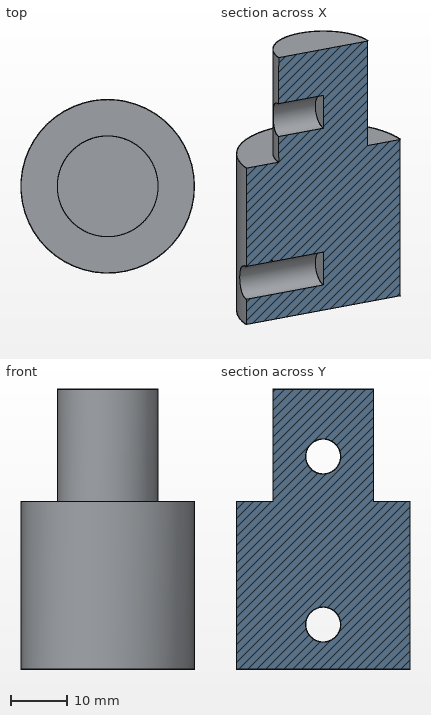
import cadquery as cq

base_diameter = 31
base_height = 30
pin_diameter = 18
total_height = 50
pin_height = total_height - base_height

hole_diameter = 6.2
base_hole_height = 8
pin_hole_height = 38


def radial_hole(height, body_diameter):
    """Blind hole cutter from the body axis out through the +Y wall."""
    return (
        cq.Workplane("XZ", origin=(0, 0, height))
        .circle(hole_diameter / 2)
        .extrude(-body_diameter / 2)
    )


base = cq.Workplane("XY").circle(base_diameter / 2).extrude(base_height)
pin = cq.Workplane("XY", origin=(0, 0, base_height)).circle(pin_diameter / 2).extrude(pin_height)
body = base.union(pin)

body = body.cut(radial_hole(base_hole_height, base_diameter))
result = body.cut(radial_hole(pin_hole_height, pin_diameter))